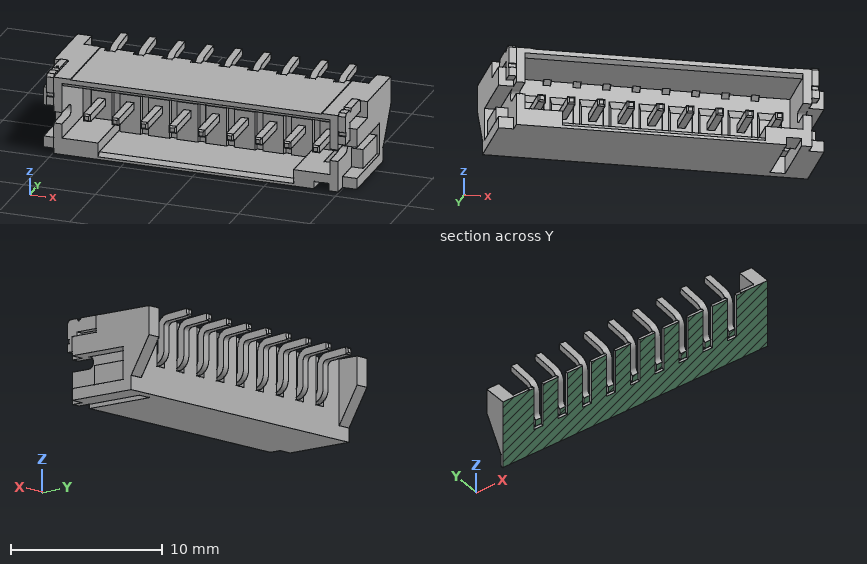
import cadquery as cq
import math


LENGTH = 21.9
HALF_LENGTH = LENGTH / 2
BODY_DEPTH = 6.0
TOP_Z = 5.4
RAISED_TOP_Z = 5.45
RAISED_INNER_X = 8.75

CHEEK_THICKNESS = 1.0
CHEEK_INNER_X = HALF_LENGTH - CHEEK_THICKNESS
CHEEK_FRONT_Y = 0.85
CHEEK_REAR_Y = 7.55
CHEEK_SLOPE_LOW_Z = 0.96
CHEEK_SLOPE_HIGH_Z = 3.48

POCKET_BACK_Y = 5.3
POCKET_BOTTOM_Z = 0.79
POCKET_TOP_Z = 3.0
LATCH_FRONT_Y = 2.63
LATCH_TOP_Z = 2.12
LATCH_INSET = 0.2

TAB_RECESS_BACK_Y = 2.93
TAB_RECESS_FLOOR_Z = 4.3

WINDOW_BOTTOM_Z = 2.2
WINDOW_DEPTH = 1.82

CAVITY_HALF_WIDTH = 9.35
CAVITY_BACK_Y = 4.18
CAVITY_CEILING_Z = 4.82
CAVITY_SHELF_Z = 1.18
CHANNEL_HALF_WIDTH = 6.83
CHANNEL_FLOOR_Z = 0.45
MOUTH_CHAMFER = 0.26

SHELF_SLOT_CENTRE_X = 8.75
SHELF_SLOT_WIDTH = 1.0
SHELF_GROOVE_HEIGHT = 0.53
SHELF_HOLE_FRONT_Y = 2.0
SHELF_HOLE_BACK_Y = 5.25

CONTACT_COUNT = 9
CONTACT_ROW_LENGTH = 15.99
PITCH = CONTACT_ROW_LENGTH / (CONTACT_COUNT - 1)
CONTACT_XS = [i * PITCH - CONTACT_ROW_LENGTH / 2 for i in range(CONTACT_COUNT)]
PIN_SIZE = 0.5
PIN_BOTTOM_Z = 2.15
PIN_TIP_Y = 0.99
TIP_CHAMFER = 0.1
RISER_FRONT_Y = BODY_DEPTH
LOWER_INNER_RADIUS = 0.42
UPPER_OUTER_RADIUS = 0.83
TAIL_TIP_Y = 8.6
TAIL_TOP_Z = 5.58
TAIL_TILT = math.radians(4.5)

BOSS_FRONT_Y = 3.99
BOSS_FRONT_WIDTH = 1.45
BOSS_BACK_WIDTH = 1.6
BOSS_FRONT_TOP_Z = 3.15
BOSS_BACK_TOP_Z = 3.7

GUSSET_WIDTH = 0.5
GUSSET_SIZE = 0.3

SLOT_WIDTH = 0.72
SLOT_FRONT_Y = 5.58
SLOT_FLOOR_Z = 2.0

TAB_WIDTH = 0.5
TAB_TOP_Z = 5.6
TAB_ARM_BOTTOM_Z = 4.69
TAB_LEG_BOTTOM_Z = 3.42
TAB_CHAMFER = 0.2
TAB_GROOVE_Y = 0.99
TAB_NICK_BOTTOM_Z = 4.0
TAB_NICK_TOP_Z = 4.3
TAB_NICK_DEPTH = 0.13
TAB_PIT_Y = 1.47
TAB_PIT_WIDTH = 0.13
TAB_PIT_LENGTH = 0.09
TAB_PIT_DEPTH = 0.07


def box(x_range, y_range, z_range):
    """Box spanning the given (low, high) ranges."""
    x0, x1 = x_range
    y0, y1 = y_range
    z0, z1 = z_range
    return cq.Workplane("XY").box(x1 - x0, y1 - y0, z1 - z0, centered=False).translate((x0, y0, z0))


def symmetric_box(half_width, y_range, z_range):
    """Box centred on X = 0."""
    return box((-half_width, half_width), y_range, z_range)


def side_sketch(x):
    """Sketch plane across X whose local axes are Y and Z."""
    return cq.Workplane("YZ", origin=(x, 0, 0))


def both_ends(left):
    """The given left-hand shape together with its mirror image."""
    return left.union(left.mirror("YZ"))


def body_block():
    """Main block with its raised end strips."""
    block = symmetric_box(CHEEK_INNER_X, (0, BODY_DEPTH), (0, TOP_Z))
    strip = box((-CHEEK_INNER_X, -RAISED_INNER_X), (0, BODY_DEPTH), (0, RAISED_TOP_Z))
    return block.union(both_ends(strip))


def cheek():
    """Left cheek with a sloped rear edge, the side pocket, latch block and tab recess."""
    blank = (
        side_sketch(-HALF_LENGTH)
        .moveTo(CHEEK_FRONT_Y, 0)
        .lineTo(BODY_DEPTH, 0)
        .lineTo(BODY_DEPTH, CHEEK_SLOPE_LOW_Z)
        .lineTo(CHEEK_REAR_Y, CHEEK_SLOPE_HIGH_Z)
        .lineTo(CHEEK_REAR_Y, RAISED_TOP_Z)
        .lineTo(CHEEK_FRONT_Y, RAISED_TOP_Z)
        .close()
        .extrude(CHEEK_THICKNESS)
    )
    cheek_x = (-HALF_LENGTH, -CHEEK_INNER_X)
    pocket = box(cheek_x, (CHEEK_FRONT_Y, POCKET_BACK_Y), (POCKET_BOTTOM_Z, POCKET_TOP_Z))
    tab_recess = box(cheek_x, (CHEEK_FRONT_Y, TAB_RECESS_BACK_Y), (TAB_RECESS_FLOOR_Z, RAISED_TOP_Z))
    latch = box(
        (-HALF_LENGTH + LATCH_INSET, -CHEEK_INNER_X),
        (LATCH_FRONT_Y, POCKET_BACK_Y),
        (POCKET_BOTTOM_Z, LATCH_TOP_Z),
    )
    return blank.cut(pocket).cut(tab_recess).union(latch)


def mouth_wedge(half_width, z, rise):
    """45-degree wedge at the mating face that reaches from height z up, or down if rise is negative."""
    return (
        side_sketch(-half_width)
        .polyline([(0, z), (abs(rise), z), (0, z + rise)])
        .close()
        .extrude(2 * half_width)
    )


def cavity():
    """Mating opening: a wide upper part, a lower channel and 45-degree mouth chamfers."""
    upper = symmetric_box(CAVITY_HALF_WIDTH, (0, CAVITY_BACK_Y), (CAVITY_SHELF_Z, CAVITY_CEILING_Z))
    channel = symmetric_box(CHANNEL_HALF_WIDTH, (0, CAVITY_BACK_Y), (CHANNEL_FLOOR_Z, CAVITY_SHELF_Z))
    ceiling_chamfer = mouth_wedge(CAVITY_HALF_WIDTH, CAVITY_CEILING_Z, MOUTH_CHAMFER)
    floor_chamfer = mouth_wedge(CHANNEL_HALF_WIDTH, CHANNEL_FLOOR_Z, -MOUTH_CHAMFER)
    return upper.union(channel).union(ceiling_chamfer).union(floor_chamfer)


def wall_window():
    """Round-ended window in the left side wall of the cavity, open to the mating face."""
    radius = (POCKET_TOP_Z - WINDOW_BOTTOM_Z) / 2
    straight_end_y = WINDOW_DEPTH - radius
    return (
        side_sketch(-CHEEK_INNER_X)
        .moveTo(0, WINDOW_BOTTOM_Z)
        .lineTo(straight_end_y, WINDOW_BOTTOM_Z)
        .threePointArc((WINDOW_DEPTH, WINDOW_BOTTOM_Z + radius), (straight_end_y, POCKET_TOP_Z))
        .lineTo(0, POCKET_TOP_Z)
        .close()
        .extrude(CHEEK_INNER_X - CAVITY_HALF_WIDTH)
    )


def shelf_slot():
    """Groove under the front edge and the hole through the shelf that it leads to."""
    slot_x = (SHELF_SLOT_CENTRE_X - SHELF_SLOT_WIDTH / 2, SHELF_SLOT_CENTRE_X + SHELF_SLOT_WIDTH / 2)
    groove = box(slot_x, (0, SHELF_HOLE_FRONT_Y), (0, SHELF_GROOVE_HEIGHT))
    hole = box(slot_x, (SHELF_HOLE_FRONT_Y, SHELF_HOLE_BACK_Y), (0, CAVITY_SHELF_Z))
    return groove.union(hole)


def boss(x):
    """Boss on the back wall, with tapered sides and a sloped top; it stands on the cavity floor."""
    plan = (
        cq.Workplane("XY", origin=(x, 0, CHANNEL_FLOOR_Z))
        .polyline(
            [
                (-BOSS_FRONT_WIDTH / 2, BOSS_FRONT_Y),
                (BOSS_FRONT_WIDTH / 2, BOSS_FRONT_Y),
                (BOSS_BACK_WIDTH / 2, CAVITY_BACK_Y),
                (-BOSS_BACK_WIDTH / 2, CAVITY_BACK_Y),
            ]
        )
        .close()
        .extrude(BOSS_BACK_TOP_Z - CHANNEL_FLOOR_Z)
    )
    profile = (
        side_sketch(x - BOSS_BACK_WIDTH / 2)
        .polyline(
            [
                (BOSS_FRONT_Y, CHANNEL_FLOOR_Z),
                (CAVITY_BACK_Y, CHANNEL_FLOOR_Z),
                (CAVITY_BACK_Y, BOSS_BACK_TOP_Z),
                (BOSS_FRONT_Y, BOSS_FRONT_TOP_Z),
            ]
        )
        .close()
        .extrude(BOSS_BACK_WIDTH)
    )
    return plan.intersect(profile)


def gusset(x):
    """45-degree gusset between the cavity ceiling and its back wall."""
    return (
        side_sketch(x - GUSSET_WIDTH / 2)
        .polyline(
            [
                (CAVITY_BACK_Y, CAVITY_CEILING_Z),
                (CAVITY_BACK_Y - GUSSET_SIZE, CAVITY_CEILING_Z),
                (CAVITY_BACK_Y, CAVITY_CEILING_Z - GUSSET_SIZE),
            ]
        )
        .close()
        .extrude(GUSSET_WIDTH)
    )


def tail_slot(x):
    """Slot in the rear edge, open at the top and back, in which the contact bends upward."""
    return box(
        (x - SLOT_WIDTH / 2, x + SLOT_WIDTH / 2),
        (SLOT_FRONT_Y, BODY_DEPTH),
        (SLOT_FLOOR_Z, TOP_Z),
    )


def arc_point(centre, radius, angle):
    """Point on a circle in the Y-Z plane, with the angle measured from +Y toward +Z."""
    return (centre[0] + radius * math.cos(angle), centre[1] + radius * math.sin(angle))


def contact(x):
    """Square contact: a straight mating pin, a bend up and a bend back to a slightly rising tail."""
    riser_back_y = RISER_FRONT_Y + PIN_SIZE

    tip_bottom = (TAIL_TIP_Y + TIP_CHAMFER * math.sin(TAIL_TILT), TAIL_TOP_Z - PIN_SIZE * math.cos(TAIL_TILT))
    tip_top = (tip_bottom[0] - PIN_SIZE * math.sin(TAIL_TILT), TAIL_TOP_Z)

    lower_outer_radius = LOWER_INNER_RADIUS + PIN_SIZE
    lower_centre = (RISER_FRONT_Y - LOWER_INNER_RADIUS, PIN_BOTTOM_Z + lower_outer_radius)
    lower_middle = math.radians(-45)

    upper_inner_radius = UPPER_OUTER_RADIUS - PIN_SIZE
    upper_y = RISER_FRONT_Y + UPPER_OUTER_RADIUS
    tail_start_y = upper_y - UPPER_OUTER_RADIUS * math.sin(TAIL_TILT)
    tail_start_z = TAIL_TOP_Z - (tip_top[0] - tail_start_y) * math.tan(TAIL_TILT)
    upper_centre = (upper_y, tail_start_z - UPPER_OUTER_RADIUS * math.cos(TAIL_TILT))
    upper_end = math.pi / 2 + TAIL_TILT
    upper_middle = (upper_end + math.pi) / 2

    blank = (
        side_sketch(x - PIN_SIZE / 2)
        .moveTo(PIN_TIP_Y, PIN_BOTTOM_Z)
        .lineTo(lower_centre[0], PIN_BOTTOM_Z)
        .threePointArc(
            arc_point(lower_centre, lower_outer_radius, lower_middle),
            (riser_back_y, lower_centre[1]),
        )
        .lineTo(riser_back_y, upper_centre[1])
        .threePointArc(
            arc_point(upper_centre, upper_inner_radius, upper_middle),
            arc_point(upper_centre, upper_inner_radius, upper_end),
        )
        .lineTo(*tip_bottom)
        .lineTo(*tip_top)
        .lineTo(tail_start_y, tail_start_z)
        .threePointArc(
            arc_point(upper_centre, UPPER_OUTER_RADIUS, upper_middle),
            (RISER_FRONT_Y, upper_centre[1]),
        )
        .lineTo(RISER_FRONT_Y, lower_centre[1])
        .threePointArc(
            arc_point(lower_centre, LOWER_INNER_RADIUS, lower_middle),
            (lower_centre[0], PIN_BOTTOM_Z + PIN_SIZE),
        )
        .lineTo(PIN_TIP_Y, PIN_BOTTOM_Z + PIN_SIZE)
        .close()
        .extrude(PIN_SIZE)
    )
    for end in ("<Y", ">Y"):
        blank = blank.faces(end).chamfer(TIP_CHAMFER)
    return blank


def header():
    """Moulded body with its contacts, as one solid."""
    body = body_block().union(both_ends(cheek()))
    body = body.cut(cavity()).cut(both_ends(wall_window()))
    for x in CONTACT_XS:
        body = body.union(boss(x)).cut(tail_slot(x)).union(contact(x))
    for x in CONTACT_XS[:-1]:
        body = body.union(gusset(x + PITCH / 2))
    return body.cut(shelf_slot())


def solder_tab():
    """Left L-shaped tab with chamfered top corners, a V groove and a nick in its front face."""
    shoulder_z = TAB_TOP_Z - TAB_CHAMFER
    return (
        side_sketch(-CHEEK_INNER_X - TAB_WIDTH)
        .moveTo(0, TAB_LEG_BOTTOM_Z)
        .lineTo(CHEEK_FRONT_Y, TAB_LEG_BOTTOM_Z)
        .lineTo(CHEEK_FRONT_Y, TAB_ARM_BOTTOM_Z)
        .lineTo(TAB_RECESS_BACK_Y, TAB_ARM_BOTTOM_Z)
        .lineTo(TAB_RECESS_BACK_Y, shoulder_z)
        .lineTo(TAB_RECESS_BACK_Y - TAB_CHAMFER, TAB_TOP_Z)
        .lineTo(TAB_GROOVE_Y + TAB_CHAMFER, TAB_TOP_Z)
        .lineTo(TAB_GROOVE_Y, shoulder_z)
        .lineTo(TAB_GROOVE_Y - TAB_CHAMFER, TAB_TOP_Z)
        .lineTo(TAB_CHAMFER, TAB_TOP_Z)
        .lineTo(0, shoulder_z)
        .lineTo(0, TAB_NICK_TOP_Z)
        .lineTo(TAB_NICK_DEPTH, TAB_NICK_TOP_Z)
        .lineTo(TAB_NICK_DEPTH, TAB_NICK_BOTTOM_Z)
        .lineTo(0, TAB_NICK_BOTTOM_Z)
        .close()
        .extrude(TAB_WIDTH)
    )


def tab_pit():
    """Small pit in the top of the left tab."""
    centre_x = -CHEEK_INNER_X - TAB_WIDTH / 2
    return box(
        (centre_x - TAB_PIT_WIDTH / 2, centre_x + TAB_PIT_WIDTH / 2),
        (TAB_PIT_Y - TAB_PIT_LENGTH / 2, TAB_PIT_Y + TAB_PIT_LENGTH / 2),
        (TAB_TOP_Z - TAB_PIT_DEPTH, TAB_TOP_Z),
    )


right_tab = solder_tab().mirror("YZ")
left_tab = solder_tab().cut(tab_pit())
result = cq.Compound.makeCompound([header().val(), left_tab.val(), right_tab.val()])